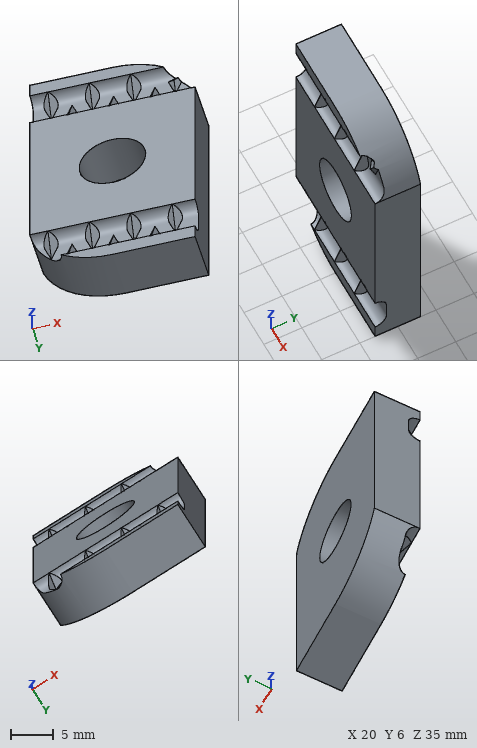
import cadquery as cq
import math

width = 20.0
thickness = 6.0
height = 35.0
bore_diameter = 8.0
corner_radius = 10.65

groove_margin = 2.0
groove_height = 5.0
groove_depth = 1.5

tooth_pitch = 5.0
tooth_half_width = 1.3
row_offset = -0.28
upper_tooth_count = 4
lower_tooth_count = 3

bevel_crest_drop = 1.85
bevel_slope_x = 0.28
bevel_slope_z = 0.57

front_y = -thickness / 2
floor_y = front_y + groove_depth
tooth_length = groove_height - groove_depth
groove_center_z = height / 2 - groove_margin - groove_height / 2


def make_plate():
    """Plate with two diagonally opposite corners rounded by arcs tangent to its ends."""
    half_width = width / 2
    half_height = height / 2
    arc_center_z = half_height - corner_radius
    side_z = arc_center_z + math.sqrt(corner_radius**2 - half_width**2)
    half_sweep = math.asin(half_width / corner_radius) / 2
    middle_x = corner_radius * math.sin(half_sweep)
    middle_z = arc_center_z + corner_radius * math.cos(half_sweep)
    outline = (
        cq.Workplane("XZ", origin=(0, thickness / 2, 0))
        .moveTo(-half_width, half_height)
        .lineTo(0, half_height)
        .threePointArc((middle_x, middle_z), (half_width, side_z))
        .lineTo(half_width, -half_height)
        .lineTo(0, -half_height)
        .threePointArc((-middle_x, -middle_z), (-half_width, -side_z))
        .close()
    )
    return outline.extrude(thickness)


def make_groove(center_z):
    """Full-width groove with a flat floor and quarter-round sides."""
    half_groove = groove_height / 2
    half_floor = half_groove - groove_depth
    arc_inset = groove_depth * math.sqrt(0.5)
    profile = (
        cq.Workplane("YZ", origin=(-width / 2, front_y, center_z))
        .moveTo(0, half_groove)
        .threePointArc((arc_inset, half_floor + arc_inset), (groove_depth, half_floor))
        .lineTo(groove_depth, -half_floor)
        .threePointArc((arc_inset, -half_floor - arc_inset), (0, -half_groove))
        .close()
    )
    return profile.extrude(width)


def make_tooth(x, center_z, side):
    """Wedge falling from one groove edge to the floor; side is 1 for the upper edge, -1 for the lower."""
    edge_z = center_z + side * groove_height / 2
    crest = cq.Vector(x, front_y, edge_z)
    left = cq.Vector(x - tooth_half_width, floor_y, edge_z)
    right = cq.Vector(x + tooth_half_width, floor_y, edge_z)
    tip = cq.Vector(x, floor_y, edge_z - side * tooth_length)
    corners = [(crest, left, right), (crest, left, tip), (crest, right, tip), (left, right, tip)]
    faces = [cq.Face.makeFromWires(cq.Wire.makePolygon(c, close=True)) for c in corners]
    return cq.Workplane(obj=cq.Solid.makeSolid(cq.Shell.makeShell(faces)))


def bevel_tooth(tooth, x, center_z):
    """Cut a sloping plane across the thick end of an upper-row tooth, starting on its crest."""
    crest_y = front_y + bevel_crest_drop * groove_depth / tooth_length
    crest_z = center_z + groove_height / 2 - bevel_crest_drop
    bevel_plane = cq.Plane(
        origin=(x, crest_y, crest_z),
        xDir=(1, -bevel_slope_x, 0),
        normal=(-bevel_slope_x, -1, bevel_slope_z),
    )
    cutter_width = 2 * groove_height
    return tooth.cut(cq.Workplane(bevel_plane).rect(cutter_width, cutter_width).extrude(groove_height))


def row_positions(count):
    """X positions of an evenly spaced row of teeth."""
    return [row_offset + (i - (count - 1) / 2) * tooth_pitch for i in range(count)]


plate = make_plate()
bore = cq.Workplane("XZ", origin=(0, thickness / 2, 0)).circle(bore_diameter / 2).extrude(thickness)
result = plate.cut(bore)
corner_tooth_x = row_positions(upper_tooth_count)[-1]

for center_z in (groove_center_z, -groove_center_z):
    result = result.cut(make_groove(center_z))
    for side, count in ((1, upper_tooth_count), (-1, lower_tooth_count)):
        for x in row_positions(count):
            tooth = make_tooth(x, center_z, side)
            if side > 0 and center_z > 0 and x == corner_tooth_x:
                tooth = bevel_tooth(tooth, x, center_z)
            result = result.union(tooth.intersect(plate))